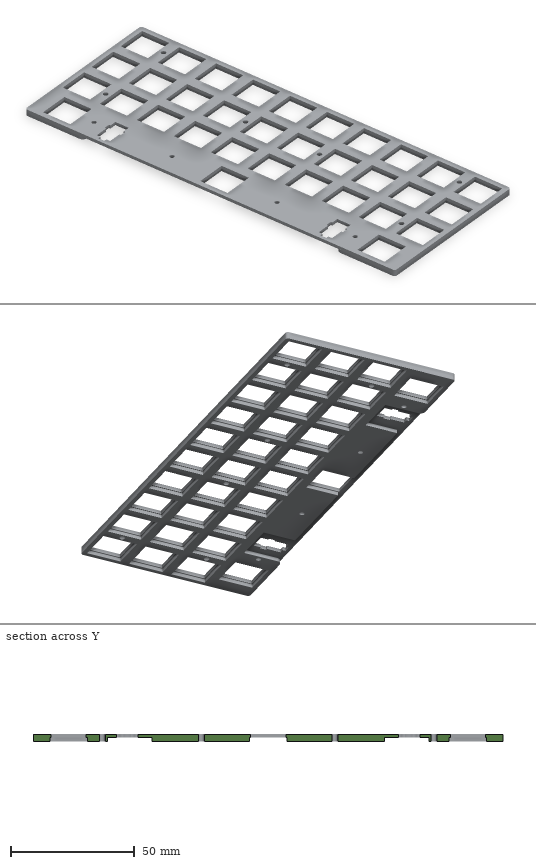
import cadquery as cq

KEY_PITCH = 19.0
COLUMNS = 10
ROWS = 4
LENGTH = COLUMNS * KEY_PITCH
WIDTH = ROWS * KEY_PITCH
THICKNESS = 3.0
LIP = THICKNESS / 2
CORNER_RADIUS = 1.24
MIDDLE_X = LENGTH / 2
HALF_KEY = KEY_PITCH / 2

SWITCH_POCKET = 15.0
CLIP_LEDGE = 0.51
SWITCH_OPENING = SWITCH_POCKET - 2 * CLIP_LEDGE
BOTTOM_ROW_OFFSET = 81.0

HOLE_DIAMETER = 2.3
SMALL_HOLE_DIAMETER = 2.1
INNER_HOLE_OFFSET = 27.0
OUTER_HOLE_OFFSET = 67.2

STABILIZER_OFFSET = 57.2
BODY_HALF_WIDTH = 3.5
EAR_HALF_WIDTH = 4.2
FOOT_HALF_WIDTH = 1.5
FOOT_FRONT = 1.5
BODY_FRONT = 2.9
EAR_FRONT = 9.0
EAR_BACK = 11.8
BODY_BACK = 15.0

RECESS_HALF_LENGTH = 65.2
RECESS_INNER_OFFSET = 47.2
STABILIZER_RECESS_BACK = HALF_KEY + SWITCH_POCKET / 2
WIRE_CHANNEL_BACK = 2.9
MOUTH_RADIUS = 2.1


def switch_centres():
    """Three full rows of keys, and three keys in the bottom row."""
    centres = []
    for row in range(1, ROWS):
        for column in range(COLUMNS):
            centres.append((HALF_KEY + column * KEY_PITCH, HALF_KEY + row * KEY_PITCH))
    for offset in (-BOTTOM_ROW_OFFSET, 0, BOTTOM_ROW_OFFSET):
        centres.append((MIDDLE_X + offset, HALF_KEY))
    return centres


def prisms(centres, side, height):
    """Square prisms standing on the bottom plane."""
    return cq.Workplane("XY").pushPoints(centres).rect(side, side).extrude(height)


def round_holes(centres, diameter):
    return cq.Workplane("XY").pushPoints(centres).circle(diameter / 2).extrude(THICKNESS)


def stabilizer_cutout(centre_x):
    """Stepped opening: narrow foot at the front, body, and an ear on each side."""
    right_side = [
        (FOOT_HALF_WIDTH, FOOT_FRONT),
        (FOOT_HALF_WIDTH, BODY_FRONT),
        (BODY_HALF_WIDTH, BODY_FRONT),
        (BODY_HALF_WIDTH, EAR_FRONT),
        (EAR_HALF_WIDTH, EAR_FRONT),
        (EAR_HALF_WIDTH, EAR_BACK),
        (BODY_HALF_WIDTH, EAR_BACK),
        (BODY_HALF_WIDTH, BODY_BACK),
    ]
    left_side = [(-x, y) for x, y in reversed(right_side)]
    outline = [(centre_x + x, y) for x, y in right_side + left_side]
    return cq.Workplane("XY").polyline(outline).close().extrude(THICKNESS)


def stabilizer_recess():
    """Wire channel along the front, reaching further back at both stabilizers, with a rounded mouth."""
    half, inner, radius = RECESS_HALF_LENGTH, RECESS_INNER_OFFSET, MOUTH_RADIUS
    return (
        cq.Workplane("XY", origin=(MIDDLE_X, 0, 0))
        .moveTo(-half - radius, 0)
        .radiusArc((-half, radius), -radius)
        .lineTo(-half, STABILIZER_RECESS_BACK)
        .lineTo(-inner, STABILIZER_RECESS_BACK)
        .lineTo(-inner, WIRE_CHANNEL_BACK)
        .lineTo(inner, WIRE_CHANNEL_BACK)
        .lineTo(inner, STABILIZER_RECESS_BACK)
        .lineTo(half, STABILIZER_RECESS_BACK)
        .lineTo(half, radius)
        .radiusArc((half + radius, 0), -radius)
        .close()
        .extrude(THICKNESS - LIP)
    )


plate = cq.Workplane("XY").box(LENGTH, WIDTH, THICKNESS, centered=False)
plate = plate.edges("|Z").fillet(CORNER_RADIUS)

plate = plate.cut(prisms(switch_centres(), SWITCH_OPENING, THICKNESS))
plate = plate.cut(prisms(switch_centres(), SWITCH_POCKET, THICKNESS - LIP))

large_holes = [
    (KEY_PITCH, HALF_KEY + KEY_PITCH),
    (KEY_PITCH, HALF_KEY + 3 * KEY_PITCH),
    (MIDDLE_X - KEY_PITCH, HALF_KEY + 2 * KEY_PITCH),
]
large_holes += [(LENGTH - x, y) for x, y in large_holes]
small_holes = []
for offset in (INNER_HOLE_OFFSET, OUTER_HOLE_OFFSET):
    small_holes += [(MIDDLE_X - offset, HALF_KEY), (MIDDLE_X + offset, HALF_KEY)]
plate = plate.cut(round_holes(large_holes, HOLE_DIAMETER))
plate = plate.cut(round_holes(small_holes, SMALL_HOLE_DIAMETER))

plate = plate.cut(stabilizer_recess())
for side in (-1, 1):
    plate = plate.cut(stabilizer_cutout(MIDDLE_X + side * STABILIZER_OFFSET))

result = plate